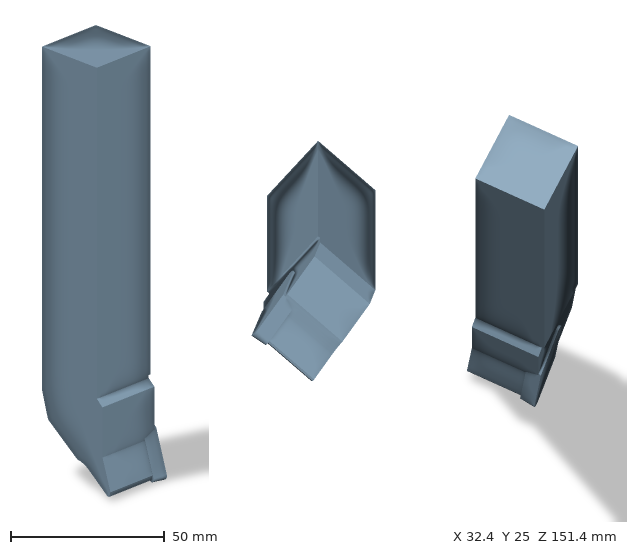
import cadquery as cq
import math

tool_length = 151.4
tool_reach = 32.4
shank_side = 25.0

heel_top_z = 30.0
heel_bottom = (2.7, 20.5)
neck_start = (16.0, 10.3)
neck_middle = (18.6, 9.7)
neck_end = (20.9, 8.5)
tip_left = (29.8, 1.4)
tip_right = (30.6, 1.4)
tip_side = (31.2, 3.2)
flank_top_z = 14.4
head_right = 27.5
shoulder_low_z = 32.1
shoulder_high_z = 34.4

relief_depth = 0.9
relief_top_z = 35.4

insert_side = 21.3
insert_thickness = 5.5
nose_radius = 1.7
clearance_angle = 7.0
nose_angle = 35.0
lower_edge_angle = 37.5
upper_edge_angle = lower_edge_angle + nose_angle


def step_from(point, length, angle):
    """Move from a point up and towards -X at an angle to the X axis."""
    radians = math.radians(angle)
    return (point[0] - length * math.cos(radians), point[1] + length * math.sin(radians))


def make_insert():
    """Rhombic plate with rounded acute corners, narrowing away from the rake face."""
    nose_center = (tool_reach - nose_radius, nose_radius)
    center_to_corner = nose_radius / math.sin(math.radians(nose_angle / 2))
    axis_angle = lower_edge_angle + nose_angle / 2
    sharp_tip = step_from(nose_center, -center_to_corner, axis_angle)
    lower_corner = step_from(sharp_tip, insert_side, lower_edge_angle)
    upper_corner = step_from(sharp_tip, insert_side, upper_edge_angle)
    rear_corner = step_from(lower_corner, insert_side, upper_edge_angle)

    tangent_length = nose_radius / math.tan(math.radians(nose_angle / 2))
    tip_on_lower = step_from(sharp_tip, tangent_length, lower_edge_angle)
    tip_on_upper = step_from(sharp_tip, tangent_length, upper_edge_angle)
    rear_on_lower = step_from(rear_corner, -tangent_length, upper_edge_angle)
    rear_on_upper = step_from(rear_corner, -tangent_length, lower_edge_angle)
    tip_point = step_from(nose_center, -nose_radius, axis_angle)
    rear_point = step_from(rear_corner, nose_radius - center_to_corner, axis_angle)

    return (
        cq.Workplane("XZ", origin=(0, shank_side, 0))
        .moveTo(*tip_on_upper)
        .lineTo(*upper_corner)
        .lineTo(*rear_on_upper)
        .threePointArc(rear_point, rear_on_lower)
        .lineTo(*lower_corner)
        .lineTo(*tip_on_lower)
        .threePointArc(tip_point, tip_on_upper)
        .close()
        .extrude(insert_thickness, taper=clearance_angle)
    )


def make_holder(insert):
    """Square shank and angled head with the rake-side relief and the insert pocket."""
    body = (
        cq.Workplane("XZ")
        .moveTo(0, tool_length)
        .lineTo(0, heel_top_z)
        .lineTo(*heel_bottom)
        .lineTo(*neck_start)
        .threePointArc(neck_middle, neck_end)
        .lineTo(*tip_left)
        .lineTo(*tip_right)
        .lineTo(*tip_side)
        .lineTo(head_right, flank_top_z)
        .lineTo(head_right, shoulder_low_z)
        .lineTo(shank_side, shoulder_high_z)
        .lineTo(shank_side, tool_length)
        .close()
        .extrude(-shank_side)
    )
    relief = cq.Workplane("XY").box(tool_reach, relief_depth, relief_top_z, centered=False)
    relief = relief.translate((0, shank_side - relief_depth, 0))
    return body.cut(relief).cut(insert)


insert = make_insert()
holder = make_holder(insert)

result = cq.Compound.makeCompound([holder.solids().val(), insert.val()])